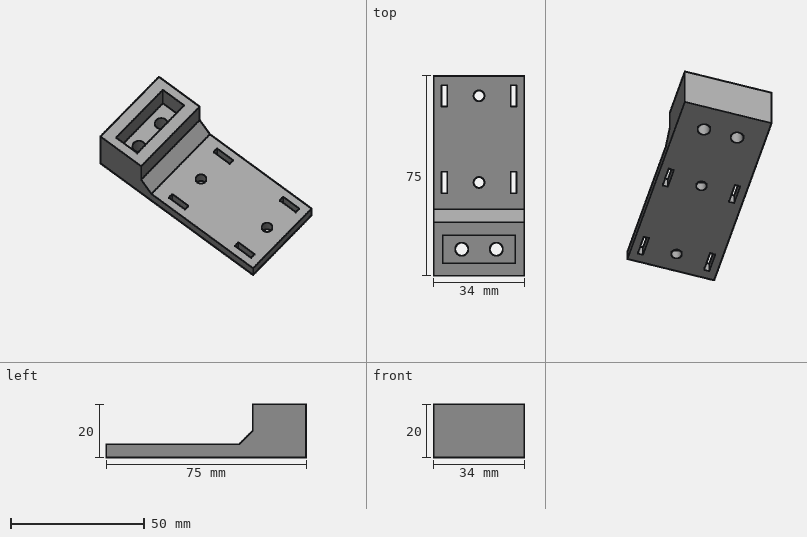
import cadquery as cq

plate_length = 75.0
plate_width = 34.0
plate_thickness = 5.0

block_depth = 20.0
block_top = 20.0
foot_size = 5.0

pocket_length = 27.15
pocket_width = 10.4
pocket_depth = 10.0
pocket_center_y = block_depth / 2
floor_hole_diameter = 4.8
floor_hole_spacing = 13.0

station_positions = (35.0, 67.5)
center_hole_diameter = 4.0
slot_width = 2.0
slot_length = 7.95
slot_spacing = 25.95


def make_body():
    """Extrude the side profile of plate, block and sloped foot across the width."""
    profile = [
        (0, 0),
        (plate_length, 0),
        (plate_length, plate_thickness),
        (block_depth + foot_size, plate_thickness),
        (block_depth, plate_thickness + foot_size),
        (block_depth, block_top),
        (0, block_top),
    ]
    return cq.Workplane("YZ").polyline(profile).close().extrude(plate_width / 2, both=True)


def make_pocket():
    return (
        cq.Workplane("XY", origin=(0, pocket_center_y, block_top))
        .rect(pocket_length, pocket_width)
        .extrude(-pocket_depth)
    )


def make_floor_holes():
    half_spacing = floor_hole_spacing / 2
    return (
        cq.Workplane("XY", origin=(0, pocket_center_y, 0))
        .pushPoints([(-half_spacing, 0), (half_spacing, 0)])
        .circle(floor_hole_diameter / 2)
        .extrude(block_top)
    )


def make_station(center_y):
    """Through cutter for one centre hole and its pair of slots."""
    half_spacing = slot_spacing / 2
    plane = cq.Workplane("XY", origin=(0, center_y, 0))
    hole = plane.circle(center_hole_diameter / 2).extrude(plate_thickness)
    slots = (
        plane.pushPoints([(-half_spacing, 0), (half_spacing, 0)])
        .rect(slot_width, slot_length)
        .extrude(plate_thickness)
    )
    return hole.add(slots).combine()


result = make_body().cut(make_pocket()).cut(make_floor_holes())
for station_y in station_positions:
    result = result.cut(make_station(station_y))